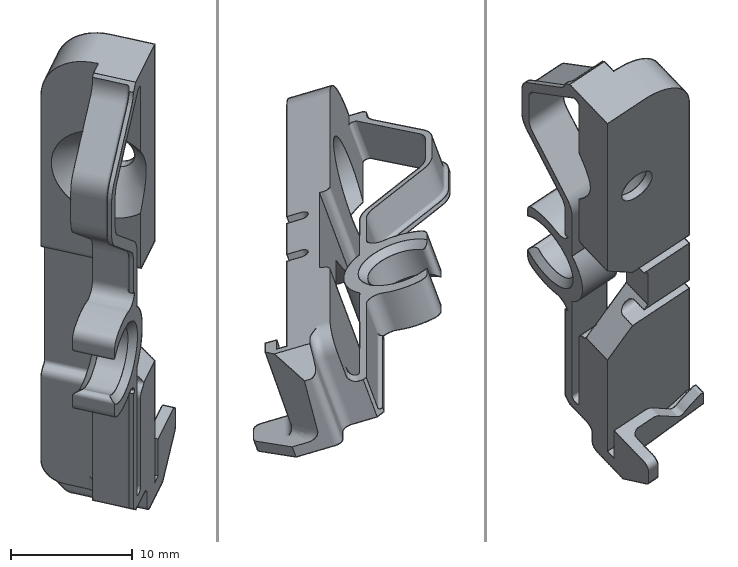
import cadquery as cq
import math


width = 8.6
height = 49.7
body_depth = 3.75
top_corner_radius = 4.8

relief_depth = 0.92
relief_bottom = 15.1
relief_top = 27.95
relief_cove_radius = 0.38
relief_bottom_round = 0.76
relief_top_round = 0.6

screw_x = 5.5
screw_z = 37.7
screw_radius = 1.6
sink_radius = 4.6

foot_depth = 2.0
foot_height = 2.85
foot_front_round = 0.7
foot_side_chamfer = 2.1
foot_slope_left_rise = 2.9
foot_slope_right_rise = 2.1
front_corner_radius = 2.0
front_cove_radius = 0.8

slot_width = 0.87
wall_thickness = 1.0
wall_back = slot_width + wall_thickness
wall_top = 5.7
notch_right = 4.96
notch_bottom_x = 2.4
floor_arc_start = 0.4
floor_arc_end = 5.9
floor_drop = 1.2

prong_width = 1.0
prong_back = 5.4
prong_slope_top = 3.05
prong_slope_end = 2.05
prong_corner_radius = 0.7
prong_cove_radius = 0.8

strip_left = 4.95
strip_thickness = 0.58
rim_thickness = 0.92
rim_left = 8.2
rim_cove_radius = 0.3
rim_clip_clearance = 5.5
strip_gap = 0.9
strip_inner = -(body_depth + strip_gap)
crest_inner = -10.34
crest_top = 42.42
crest_bottom = 37.56
bend_radius_small = 1.9
bend_radius_large = 2.0
strip_end_bevel = 0.6
anchor_bottom = 48.4
anchor_round = 0.35

bridge_top = 3.95
bridge_round = 0.4
bridge_cove_radius = 0.85

clip_y = -8.03
clip_z = 21.55
clip_outer_radius = 4.75
clip_bore_radius = 2.88
clip_bore_chamfer = 0.62
clip_mouth = 2.46
clip_root_radius = 1.15
clip_tip_inner_round = 0.4
clip_tip_outer_round = 1.0

hinge_offset = 3.3
hinge_width = 1.2
hinge_depth = 1.84
window_left = 4.36
window_half_height = 2.3

OVERLAP = 0.4
REACH = 20.0
TOLERANCE = 0.01


def rounded_outline(plane, corners):
    """Closed wire through (u, v, radius) corners, each rounded by a tangent arc."""
    count = len(corners)
    path = None
    for i, (u, v, radius) in enumerate(corners):
        here = cq.Vector(u, v)
        to_prev = (cq.Vector(*corners[i - 1][:2]) - here).normalized()
        to_next = (cq.Vector(*corners[(i + 1) % count][:2]) - here).normalized()
        half_angle = to_prev.getAngle(to_next) / 2
        setback = radius / math.tan(half_angle)
        start = here + to_prev * setback
        if path is None:
            path = cq.Workplane(plane).moveTo(start.x, start.y)
        else:
            path = path.lineTo(start.x, start.y)
        if radius > 0:
            bisector = (to_prev + to_next).normalized()
            middle = here + bisector * (radius / math.sin(half_angle) - radius)
            end = here + to_next * setback
            path = path.threePointArc((middle.x, middle.y), (end.x, end.y))
    return path.close()


def block(x_range, y_range, z_range):
    """Box given by its limits along each axis."""
    size = [high - low for low, high in (x_range, y_range, z_range)]
    corner = (x_range[0], y_range[0], z_range[0])
    return cq.Workplane("XY").box(*size, centered=False).translate(corner)


def side_plane(x):
    """Plane across X, drawn in (Y, Z)."""
    return cq.Plane(origin=(x, 0, 0), xDir=(0, 1, 0), normal=(1, 0, 0))


def extrude_side(corners, left, right):
    """Solid between two X positions from a (Y, Z, radius) outline."""
    return rounded_outline(side_plane(left), corners).extrude(right - left)


def make_upper_body():
    """Body above the foot, with its rounded top left corner."""
    outline = [
        (0, foot_height, 0),
        (width, foot_height, 0),
        (width, height, 0),
        (0, height, top_corner_radius),
    ]
    return rounded_outline("XZ", outline).extrude(body_depth)


def make_lower_body():
    """Foot with the body front ending above it in a rounded corner and a cove."""
    top = 2 * foot_height + front_corner_radius
    foot = block((-foot_depth, width), (-foot_depth, 0), (0, top))
    front_outline = [
        (0, foot_height, front_corner_radius),
        (width, foot_height, 0),
        (width, top, 0),
        (0, top, 0),
    ]
    front = rounded_outline("XZ", front_outline).extrude(body_depth)
    seam = cq.selectors.BoxSelector(
        (-0.1, -foot_depth - 0.1, foot_height - 0.1),
        (width - 0.1, -foot_depth + 0.1, top - 0.1),
    )
    lower = foot.union(front).edges(seam).fillet(front_cove_radius)
    lower = lower.intersect(block((0, width), (-body_depth, 0), (0, top)))
    front_bottom = cq.selectors.NearestToPointSelector((width / 2, -foot_depth, 0))
    return lower.edges(front_bottom).fillet(foot_front_round)


def cut_relief(body):
    """Shallow relief with rounded shoulders across the front."""
    floor = -body_depth + relief_depth
    front = -body_depth
    outside = front - OVERLAP
    total_radius = relief_cove_radius + relief_bottom_round
    turn = math.acos(1 - relief_depth / total_radius)
    cove_end = (
        floor - relief_cove_radius * (1 - math.cos(turn)),
        relief_bottom - relief_cove_radius * math.sin(turn),
    )
    shoulder_bottom = relief_bottom - total_radius * math.sin(turn)
    relief = (
        cq.Workplane(side_plane(0))
        .moveTo(floor, relief_bottom)
        .lineTo(floor, relief_top)
        .lineTo(front + relief_top_round, relief_top)
        .radiusArc((front, relief_top + relief_top_round), relief_top_round)
        .lineTo(outside, relief_top + relief_top_round)
        .lineTo(outside, shoulder_bottom)
        .lineTo(front, shoulder_bottom)
        .radiusArc(cove_end, relief_bottom_round)
        .radiusArc((floor, relief_bottom), -relief_cove_radius)
        .close()
        .extrude(width)
    )
    return body.cut(relief)


def cut_screw_hole(body):
    """Through hole with a 45 degree countersink from the front."""
    sink = cq.Solid.makeCone(
        sink_radius,
        screw_radius,
        sink_radius - screw_radius,
        pnt=cq.Vector(screw_x, -body_depth, screw_z),
        dir=cq.Vector(0, 1, 0),
    )
    hole = cq.Workplane("XZ").center(screw_x, screw_z).circle(screw_radius).extrude(body_depth)
    return body.cut(hole).cut(cq.Workplane(sink))


def cut_hinge(body):
    """Two round-ended slots in the back and a window flaring to the right side."""
    half = hinge_width / 2
    for z in (clip_z - hinge_offset, clip_z + hinge_offset):
        slot = [
            (OVERLAP, z - half, 0),
            (OVERLAP, z + half, 0),
            (-hinge_depth, z + half, half * 0.99),
            (-hinge_depth, z - half, half * 0.99),
        ]
        body = body.cut(extrude_side(slot, 0, width))
    flare = width - window_left
    window = (
        cq.Workplane("XZ")
        .moveTo(window_left, clip_z - window_half_height)
        .lineTo(width, clip_z - window_half_height - flare)
        .lineTo(width, clip_z + window_half_height + flare)
        .lineTo(window_left, clip_z + window_half_height)
        .close()
        .extrude(body_depth)
    )
    return body.cut(window)


def make_hook_wall():
    """Wall behind the body with a sloping notch in its top and a hollowed slot floor."""
    outline = [
        (0, 0, 0),
        (width, 0, 0),
        (width, wall_top, 0),
        (notch_right, wall_top, 1.05),
        (notch_bottom_x, wall_top - (notch_right - notch_bottom_x), 0.5),
        (1.65, 3.75, 4.0),
        (0.3, 4.55, 0.1),
        (0, 4.45, 0),
    ]
    wall = rounded_outline("XZ", outline).extrude(-wall_back)
    floor_low = foot_height - floor_drop
    sag = 0.25 * floor_drop
    middle = (floor_arc_start + floor_arc_end) / 2
    slot = (
        cq.Workplane("XZ")
        .moveTo(0, foot_height)
        .lineTo(floor_arc_start, foot_height)
        .threePointArc((middle, floor_low + sag), (floor_arc_end, floor_low))
        .lineTo(width, floor_low)
        .lineTo(width, wall_top)
        .lineTo(0, wall_top)
        .close()
        .extrude(-slot_width)
    )
    return wall.cut(slot)


def cut_foot_slopes(body):
    """Chamfer the lower left corner and slope the back of the foot, turned slightly in X."""
    chamfer = (
        cq.Workplane("XZ")
        .moveTo(0, 0)
        .lineTo(foot_side_chamfer, 0)
        .lineTo(0, foot_side_chamfer)
        .close()
        .extrude(REACH, both=True)
    )

    def slope_section(x, rise):
        bottom = wall_back - rise
        points = [
            (bottom - OVERLAP, -OVERLAP),
            (wall_back + OVERLAP, -OVERLAP),
            (wall_back + OVERLAP, rise + OVERLAP),
        ]
        return cq.Workplane(side_plane(x)).polyline(points).close().wire().val()

    sections = [
        slope_section(0, foot_slope_left_rise),
        slope_section(width, foot_slope_right_rise),
    ]
    return body.cut(chamfer).cut(cq.Workplane(cq.Solid.makeLoft(sections, True)))


def add_prong(body):
    """Prong along the right side, blended into the wall by a cove."""
    left = width - prong_width
    outline = [
        (slot_width + OVERLAP, wall_top, 0),
        (prong_back, wall_top, prong_corner_radius),
        (prong_back, prong_slope_top, prong_corner_radius),
        (prong_slope_end, 0, 0),
        (-foot_depth / 2, 0, 0),
        (slot_width + OVERLAP, foot_height - floor_drop, 0),
    ]
    joined = body.union(extrude_side(outline, left, width))
    seam = cq.selectors.BoxSelector(
        (left - 0.05, -foot_depth / 2, 0.1),
        (left + 0.05, wall_back + 0.05, wall_top - 0.1),
    )
    return joined.edges(seam).fillet(prong_cove_radius)


def strip_outline(thickness):
    """Side outline of the spring strip: anchor, bulged crest and straight lower run."""
    bend = thickness * math.tan(math.radians(22.5))
    outer = strip_inner - thickness
    crest_outer = crest_inner - thickness
    rise = strip_inner - crest_inner
    inside = -body_depth + OVERLAP
    anchor_root = anchor_bottom - 2 * anchor_round
    diagonal_at_anchor = strip_inner - (crest_top + rise - anchor_bottom)
    return [
        (inside, height, 0),
        (inside, anchor_root, 0),
        (-body_depth, anchor_root, 0),
        (-body_depth, anchor_bottom, anchor_round),
        (diagonal_at_anchor, anchor_bottom, anchor_round),
        (crest_inner, crest_top, bend_radius_small),
        (crest_inner, crest_bottom, bend_radius_small),
        (strip_inner, crest_bottom - rise, bend_radius_large + strip_thickness),
        (strip_inner, foot_height, 0),
        (outer, foot_height, 0),
        (outer, crest_bottom - rise - bend, bend_radius_large),
        (crest_outer, crest_bottom - bend, bend_radius_small + strip_thickness),
        (crest_outer, crest_top + bend, bend_radius_small + strip_thickness),
        (outer, crest_top + rise + bend, bend_radius_large),
        (outer, height, 0),
    ]


def make_strip():
    """Spring strip with a thicker rim along its right side."""
    thin = extrude_side(strip_outline(strip_thickness), strip_left, width)
    rim = extrude_side(strip_outline(rim_thickness), rim_left, width)
    beside_clip = (clip_z - rim_clip_clearance, clip_z + rim_clip_clearance)
    rim = rim.cut(block((rim_left, width), (-REACH, strip_inner - strip_thickness), beside_clip))

    def at_rim_foot(edge):
        middle = edge.positionAt(0.5)
        on_strip = thin.val().distance(cq.Vertex.makeVertex(*middle.toTuple())) < TOLERANCE
        on_side = abs(middle.x - rim_left) < TOLERANCE
        on_end = any(abs(middle.z - z) < TOLERANCE for z in beside_clip)
        return on_strip and (on_side or on_end)

    strip = thin.union(rim)
    strip = strip.newObject(strip.edges().filter(at_rim_foot).vals()).fillet(rim_cove_radius)
    rim_outer = strip_inner - rim_thickness
    for end, inward in ((height, -1), (foot_height, 1)):
        bevel = [
            (rim_outer - OVERLAP, end - inward * OVERLAP, 0),
            (rim_outer - OVERLAP, end + inward * (strip_end_bevel + OVERLAP), 0),
            (rim_outer + strip_end_bevel + OVERLAP, end - inward * OVERLAP, 0),
        ]
        strip = strip.cut(extrude_side(bevel, strip_left, width))
    return strip


def make_bridge():
    """Bridge from body to strip with a rounded gap end and a cove on its left."""
    root_left = strip_left - bridge_cove_radius
    tip = bridge_top + 2 * bridge_round
    outline = [
        (-body_depth + OVERLAP, foot_height, 0),
        (-body_depth + OVERLAP, tip, 0),
        (-body_depth, tip, 0),
        (-body_depth, bridge_top, bridge_round),
        (strip_inner, bridge_top, bridge_round),
        (strip_inner, tip, 0),
        (strip_inner - strip_thickness / 2, tip, 0),
        (strip_inner - strip_thickness / 2, foot_height, 0),
    ]
    bridge = extrude_side(outline, root_left, width)
    cove = (
        cq.Workplane("XY")
        .center(root_left, -body_depth - bridge_cove_radius)
        .circle(bridge_cove_radius)
        .extrude(height)
    )
    beside_strip = block((root_left, strip_left), (-REACH, -body_depth - bridge_cove_radius), (0, height))
    return bridge.cut(cove).cut(beside_strip)


def make_clip():
    """C-shaped ring with a chamfered bore, open to the front and blended into the strip."""
    clip_width = width - strip_left
    strip_outer = strip_inner - strip_thickness
    plane = side_plane(strip_left)
    ring = cq.Workplane(plane).center(clip_y, clip_z).circle(clip_outer_radius).extrude(clip_width)
    half_span = clip_outer_radius + 2 * clip_root_radius
    stub = block(
        (strip_left, width),
        (strip_outer, strip_inner),
        (clip_z - half_span, clip_z + half_span),
    )
    root_rise = math.sqrt(clip_outer_radius**2 - (strip_outer - clip_y) ** 2)
    clip = ring.union(stub)
    for z in (clip_z - root_rise, clip_z + root_rise):
        root = cq.selectors.NearestToPointSelector((strip_left + clip_width / 2, strip_outer, z))
        clip = clip.edges(root).fillet(clip_root_radius)

    bore = cq.Workplane(plane).center(clip_y, clip_z).circle(clip_bore_radius).extrude(clip_width)
    front = clip_y - clip_mouth
    mouth = block((0, width), (-REACH, front), (0, height))
    clip = clip.cut(bore).cut(mouth)
    bore_tip = math.sqrt(clip_bore_radius**2 - clip_mouth**2)
    outer_tip = math.sqrt(clip_outer_radius**2 - clip_mouth**2)
    for tip_height, tip_round in ((bore_tip, clip_tip_inner_round), (outer_tip, clip_tip_outer_round)):
        for z in (clip_z - tip_height, clip_z + tip_height):
            corner = cq.selectors.NearestToPointSelector((strip_left + clip_width / 2, front, z))
            clip = clip.edges(corner).fillet(tip_round)
    for x, direction in ((strip_left, 1), (width, -1)):
        sink = cq.Solid.makeCone(
            clip_bore_radius + clip_bore_chamfer,
            clip_bore_radius,
            clip_bore_chamfer,
            pnt=cq.Vector(x, clip_y, clip_z),
            dir=cq.Vector(direction, 0, 0),
        )
        clip = clip.cut(cq.Workplane(sink))
    return clip


body = make_upper_body()
below_cove = block((0, width), (-body_depth, 0), (0, 2 * foot_height + front_corner_radius))
body = body.cut(below_cove).union(make_lower_body())
body = cut_relief(body)
body = cut_screw_hole(body)
body = cut_hinge(body)
body = body.union(make_hook_wall())
body = cut_foot_slopes(body)
body = add_prong(body)

ring_middle_radius = (clip_bore_radius + clip_outer_radius) / 2
ring_space = cq.Workplane(side_plane(strip_left)).center(clip_y, clip_z).circle(ring_middle_radius)
spring = make_strip().cut(ring_space.extrude(width)).union(make_clip())

result = body.union(make_bridge()).union(spring)